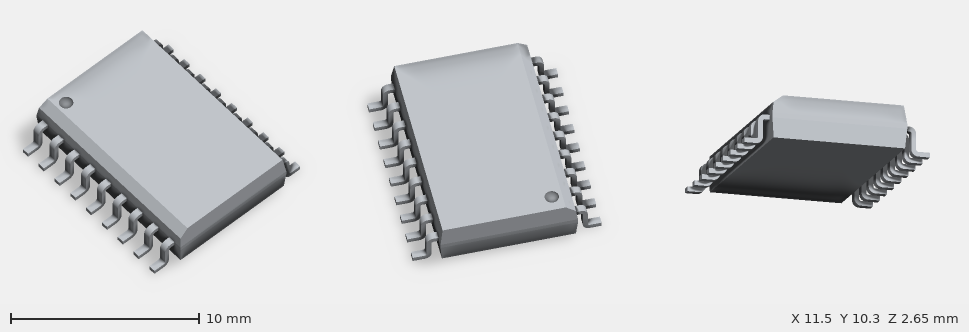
import cadquery as cq
import math

body_length = 11.53
body_width = 7.5
body_bottom = 0.28
body_top = 2.65
top_draft = 8.0
bottom_draft = 5.0

bevel_width = 0.48
bevel_bottom = 2.25

lead_count = 9
lead_pitch = 1.27
lead_width = 0.42
lead_thickness = 0.27
lead_span = 10.3
lead_top = 1.61
lead_knee_span = 8.79
inner_bend_radius = 0.1

dimple_x = -4.76
dimple_y = -2.55
dimple_radius = 0.38
dimple_floor_radius = 0.21
dimple_depth = 0.25

lead_bottom = lead_top - lead_thickness
outer_bend_radius = inner_bend_radius + lead_thickness


def make_body():
    """Straight band at lead height, with drafted halves above and below it."""
    band = (
        cq.Workplane("XY", origin=(0, 0, lead_bottom))
        .rect(body_length, body_width)
        .extrude(lead_thickness)
    )
    band_and_upper = (
        band.faces(">Z")
        .wires()
        .toPending()
        .extrude(body_top - lead_top, taper=top_draft)
    )
    lower = (
        cq.Workplane("XY", origin=(0, 0, lead_bottom))
        .rect(body_length, body_width)
        .extrude(body_bottom - lead_bottom, taper=bottom_draft)
    )
    return band_and_upper.union(lower)


def make_bevel_cutter():
    """Wedge that removes the top edge on the -Y side."""
    slope = math.tan(math.radians(top_draft))
    low_y = -body_width / 2 + (bevel_bottom - lead_top) * slope
    high_y = -body_width / 2 + (body_top - lead_top) * slope + bevel_width
    return (
        cq.Workplane("YZ")
        .polyline([(low_y, bevel_bottom), (high_y, body_top), (low_y, body_top)])
        .close()
        .extrude(body_length / 2, both=True)
    )


def make_dimple_cutter():
    """Round recess whose wall curves into a flat floor."""
    return (
        cq.Workplane("XY", origin=(dimple_x, dimple_y, body_top - dimple_depth))
        .circle(dimple_radius)
        .extrude(2 * dimple_depth)
        .faces("<Z")
        .edges()
        .fillet(dimple_radius - dimple_floor_radius)
    )


def make_lead():
    """One +Y lead centred on X = 0, with its inner end buried in the body."""
    root = body_width / 2 - lead_thickness
    tip = lead_span / 2
    outer_y = lead_knee_span / 2
    inner_y = outer_y - lead_thickness
    profile = (
        cq.Workplane("YZ")
        .moveTo(root, lead_top)
        .lineTo(outer_y - outer_bend_radius, lead_top)
        .radiusArc((outer_y, lead_top - outer_bend_radius), outer_bend_radius)
        .lineTo(outer_y, outer_bend_radius)
        .radiusArc((outer_y + inner_bend_radius, lead_thickness), -inner_bend_radius)
        .lineTo(tip, lead_thickness)
        .lineTo(tip, 0)
        .lineTo(inner_y + outer_bend_radius, 0)
        .radiusArc((inner_y, outer_bend_radius), outer_bend_radius)
        .lineTo(inner_y, lead_bottom - inner_bend_radius)
        .radiusArc((inner_y - inner_bend_radius, lead_bottom), -inner_bend_radius)
        .lineTo(root, lead_bottom)
        .close()
    )
    return profile.extrude(lead_width / 2, both=True)


result = make_body().cut(make_bevel_cutter()).cut(make_dimple_cutter())

lead = make_lead()
lead_pair = lead.union(lead.mirror("XZ"))
first_lead_x = -lead_pitch * (lead_count - 1) / 2
for index in range(lead_count):
    result = result.union(lead_pair.translate((first_lead_x + index * lead_pitch, 0, 0)))